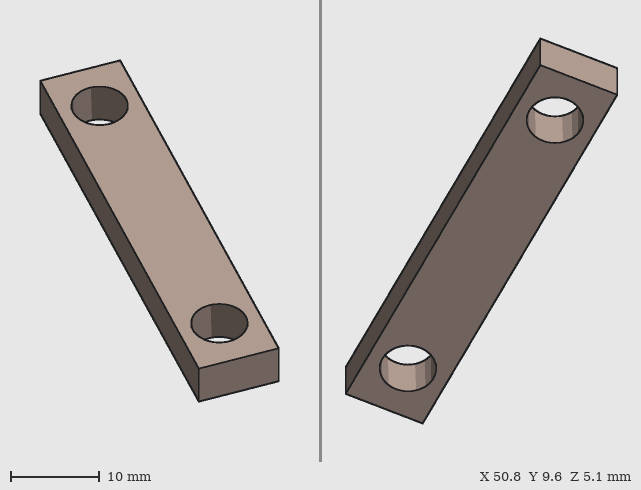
import cadquery as cq

length = 50.8
width = 9.6
thickness = 5.1

hole_diameter = 6.35
hole_spacing = 38.35

bar = cq.Workplane("XY").box(length, width, thickness)

result = (
    bar.faces(">Z")
    .workplane()
    .pushPoints([(-hole_spacing / 2, 0), (hole_spacing / 2, 0)])
    .hole(hole_diameter)
)